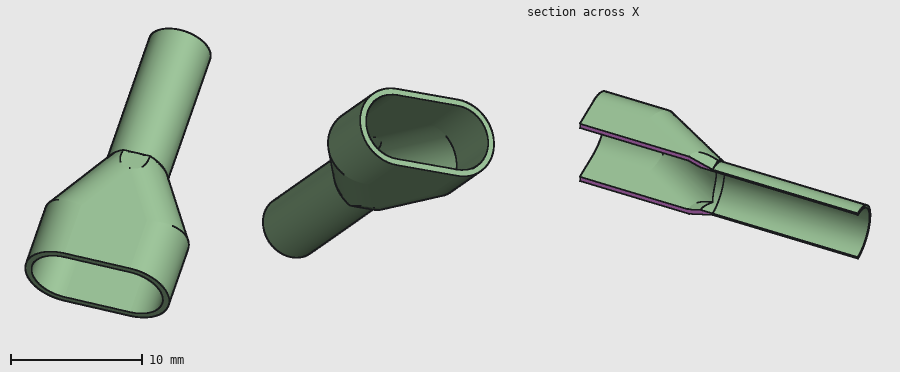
import cadquery as cq
import math

total_length = 23.0
collar_length = 11.0
straight_length = 5.5

collar_width = 11.4
collar_height = 6.2
wall = 0.5
tube_radius = 2.45
bore_radius = 2.25

taper_length = 1.95

collar_radius = collar_height / 2
round_center = collar_width / 2 - collar_radius
shoulder_length = collar_length - straight_length
side_angle = math.atan2(collar_width / 2 - tube_radius, shoulder_length)
taper_slope = (collar_radius - tube_radius) / taper_length
taper_angle = math.atan(taper_slope)
bend_y = straight_length - collar_radius * math.tan(side_angle / 2)


def along_y(start_y):
    """Workplane at start_y that extrudes toward +Y, with local x on X and local y on -Z."""
    return cq.Workplane(cq.Plane(origin=(0, start_y, 0), xDir=(1, 0, 0), normal=(0, 1, 0)))


def straight_envelope(radius):
    """Obround bar from the rim to the end of the collar."""
    overall_width = 2 * (round_center + radius)
    return along_y(0).slot2D(overall_width, 2 * radius).extrude(collar_length)


def sloped_envelope(radius, side):
    """Obround bar whose outer round side leans inward from the bend on one side (-1 or +1)."""
    axis = cq.Vector(-side * math.sin(side_angle), math.cos(side_angle), 0)
    across = cq.Vector(math.cos(side_angle), side * math.sin(side_angle), 0)
    bend_point = cq.Vector(side * round_center, bend_y, 0)
    center_spacing = 2 * collar_width
    bar_center = bend_point - across * (side * center_spacing / 2)
    bar_length = 2 * total_length
    plane = cq.Plane(origin=(bar_center - axis * (bar_length / 2)).toTuple(),
                     xDir=across.toTuple(), normal=axis.toTuple())
    return cq.Workplane(plane).slot2D(center_spacing + 2 * radius, 2 * radius).extrude(bar_length)


def taper_envelope(inset):
    """Prism across X whose top and bottom close in toward the tube, moved inward by inset."""
    end_height = tube_radius - inset / math.cos(taper_angle)
    rim_height = end_height + taper_slope * collar_length
    outline = [
        (0, -rim_height),
        (collar_length, -end_height),
        (collar_length, end_height),
        (0, rim_height),
    ]
    return cq.Workplane("YZ").polyline(outline).close().extrude(collar_width, both=True)


def collar_form(inset):
    """Solid collar shape with every side moved inward by inset."""
    radius = collar_radius - inset
    form = straight_envelope(radius)
    for side in (-1, 1):
        form = form.intersect(sloped_envelope(radius, side))
    return form.intersect(taper_envelope(inset))


def make_collar():
    """Thin-walled funnel, bored at its narrow end to match the tube."""
    bore = along_y(bend_y).circle(bore_radius).extrude(collar_length - bend_y)
    return collar_form(0).cut(collar_form(wall)).cut(bore).solids()


def make_tube():
    """Plain round sleeve that butts against the narrow end of the collar."""
    tube_length = total_length - collar_length
    return along_y(collar_length).circle(tube_radius).circle(bore_radius).extrude(tube_length)


collar = make_collar()
tube = make_tube()

result = cq.Compound.makeCompound([collar.val(), tube.val()])